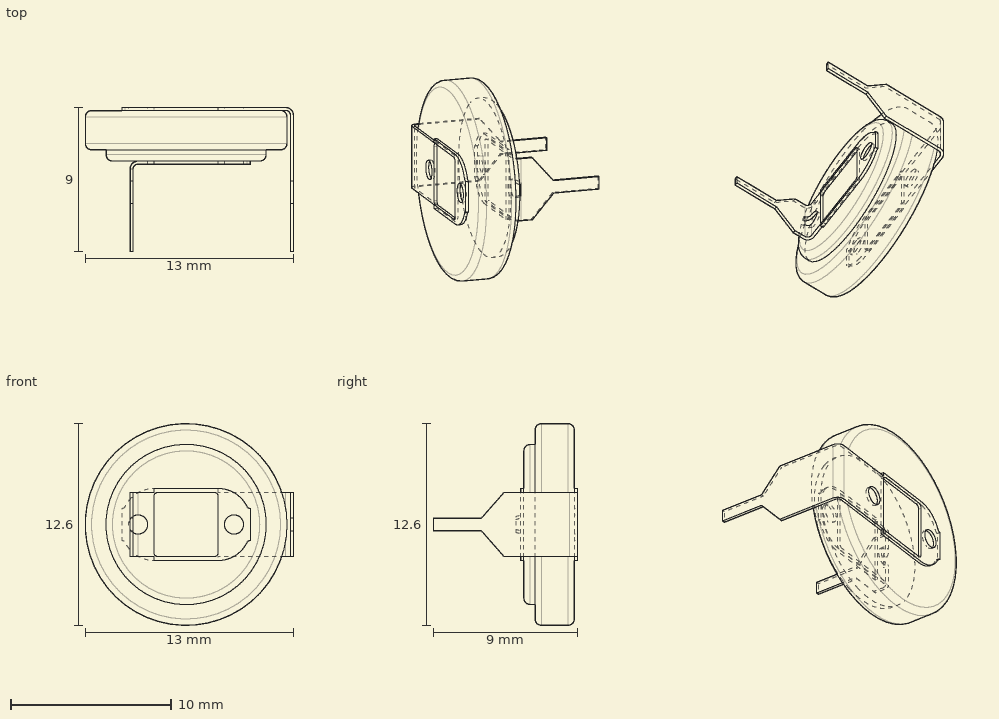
import cadquery as cq
import math

overall_width = 13
overall_depth = 9.0
can_diameter = 12.6
can_depth = 2.46
cap_diameter = 10.0
cap_depth = 0.7
rim_radius = 0.4

sheet = 0.2
bend_outer_radius = 0.5
bend_inner_radius = bend_outer_radius - sheet
strip_half_width = 2.0
plate_half_width = 2.25
window_corner_radius = 0.25
hole_radius = 0.6
hole_offset = 2.99
nose_end = 4.0
nose_tip_half_width = 1.0
nose_radius = nose_end - strip_half_width

pin_half_width = 0.4
pin_length = 3.0
taper_length = 1.4
pin_end_y = can_depth + sheet - overall_depth
cap_leg_reach = 3.5
can_leg_reach = overall_width - can_diameter / 2


def make_can():
    """Wide drum with both rims rounded."""
    drum = cq.Workplane("XZ").circle(can_diameter / 2).extrude(-can_depth)
    return drum.edges("%CIRCLE").fillet(rim_radius)


def make_cap():
    """Narrow drum with its front rim rounded."""
    drum = cq.Workplane("XZ").circle(cap_diameter / 2).extrude(cap_depth)
    return drum.faces("<Y").edges().fillet(rim_radius)


def make_plate(top_y):
    """Wide welding plate with a rounded nose toward -X and its +Y face at top_y."""
    arc_center_z = plate_half_width - nose_radius
    rise = nose_tip_half_width - arc_center_z
    blend_radius = rise**2 / (2 * (nose_radius - rise))
    blend_center_z = nose_tip_half_width + blend_radius
    nose_angle = math.atan2(blend_center_z - arc_center_z, nose_radius)

    def on_nose(angle):
        return (
            -strip_half_width - nose_radius * math.cos(angle),
            arc_center_z + nose_radius * math.sin(angle),
        )

    def on_blend(angle):
        return (
            -nose_end + blend_radius * math.cos(angle),
            blend_center_z - blend_radius * math.sin(angle),
        )

    middle_angle = (nose_angle + math.pi / 2) / 2
    upper_half = (
        cq.Workplane("XZ", origin=(0, top_y, 0))
        .moveTo(strip_half_width, 0)
        .lineTo(strip_half_width, plate_half_width)
        .lineTo(-strip_half_width, plate_half_width)
        .threePointArc(on_nose(middle_angle), on_nose(nose_angle))
        .threePointArc(on_blend(middle_angle), (-nose_end, nose_tip_half_width))
        .lineTo(-nose_end, 0)
        .close()
        .extrude(sheet)
    )
    return upper_half.union(upper_half.mirror("XY"))


def make_bent_strip(top_y, leg_reach):
    """Strip running +X from the plate, then bent down toward -Y, at full width."""
    bend_x = leg_reach - bend_outer_radius
    bend_y = top_y - bend_outer_radius
    diagonal = math.sqrt(0.5)
    return (
        cq.Workplane("XY", origin=(0, 0, -strip_half_width))
        .moveTo(strip_half_width, top_y)
        .lineTo(bend_x, top_y)
        .threePointArc(
            (bend_x + bend_outer_radius * diagonal, bend_y + bend_outer_radius * diagonal),
            (leg_reach, bend_y),
        )
        .lineTo(leg_reach, pin_end_y)
        .lineTo(leg_reach - sheet, pin_end_y)
        .lineTo(leg_reach - sheet, bend_y)
        .threePointArc(
            (bend_x + bend_inner_radius * diagonal, bend_y + bend_inner_radius * diagonal),
            (bend_x, top_y - sheet),
        )
        .lineTo(strip_half_width, top_y - sheet)
        .close()
        .extrude(2 * strip_half_width)
    )


def make_leg_outline(top_y, leg_reach):
    """Prism along X that narrows the full-width leg to a solder pin."""
    pin_start_y = pin_end_y + pin_length
    taper_start_y = pin_start_y + taper_length
    return (
        cq.Workplane("YZ")
        .polyline([
            (top_y, strip_half_width),
            (taper_start_y, strip_half_width),
            (pin_start_y, pin_half_width),
            (pin_end_y, pin_half_width),
            (pin_end_y, -pin_half_width),
            (pin_start_y, -pin_half_width),
            (taper_start_y, -strip_half_width),
            (top_y, -strip_half_width),
        ])
        .close()
        .extrude(leg_reach)
    )


def make_terminal(top_y, leg_reach):
    """Terminal with its leg at +X, a square window and a round hole on each side of it."""
    strip = make_bent_strip(top_y, leg_reach).intersect(make_leg_outline(top_y, leg_reach))
    window = (
        cq.Workplane("XZ", origin=(0, top_y, 0))
        .rect(2 * strip_half_width, 2 * strip_half_width)
        .extrude(sheet)
        .edges("|Y")
        .fillet(window_corner_radius)
    )
    holes = (
        cq.Workplane("XZ", origin=(0, top_y, 0))
        .pushPoints([(-hole_offset, 0), (hole_offset, 0)])
        .circle(hole_radius)
        .extrude(bend_outer_radius)
    )
    return make_plate(top_y).union(strip).cut(window).cut(holes)


can = make_can()
cap = make_cap()
can_terminal = make_terminal(can_depth + sheet, can_leg_reach)
cap_terminal = make_terminal(-cap_depth, cap_leg_reach).mirror("YZ")

result = cq.Compound.makeCompound([
    can.solids().val(),
    cap.solids().val(),
    can_terminal.solids().val(),
    cap_terminal.solids().val(),
])